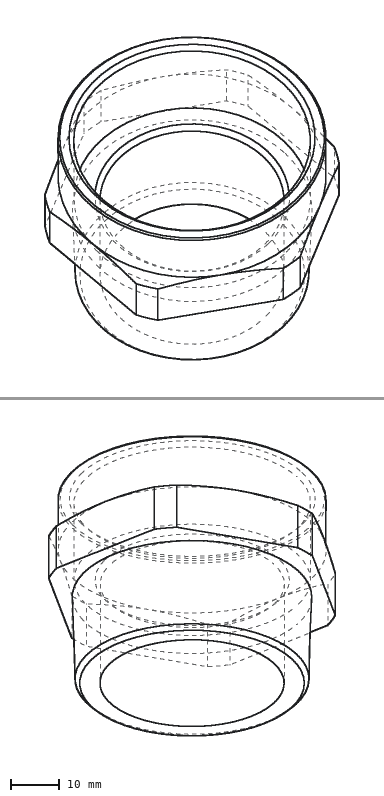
import cadquery as cq

total_height = 43.0
across_flats = 55.0
across_corners = 61.0

hex_bottom = 20.05
hex_top = 31.05
hex_chamfer_height = 1.15

collar_radius = across_flats / 2
rim_chamfer = 0.35

spigot_top_radius = 24.6
spigot_end_radius = 24.05
spigot_chamfer = 1.0

bore_radius = 18.9
bore_chamfer = 1.05
socket_radius = 24.3
socket_depth = 18.9
socket_chamfer_width = 1.0
socket_chamfer_depth = 1.0


def revolve_profile(points):
    """Revolve a closed outline of (radius, height) points about Z."""
    return cq.Workplane("XZ").polyline(points).close().revolve(360, (0, 0, 0), (0, 1, 0))


def make_hexagon():
    """Hexagon with flats facing X, its corners turned down and coned on top."""
    corner_radius = across_corners / 2
    prism = (
        cq.Workplane("XY")
        .workplane(offset=hex_bottom)
        .polygon(6, across_flats, circumscribed=True)
        .extrude(hex_top - hex_bottom)
    )
    turned_envelope = revolve_profile([
        (0, hex_bottom),
        (corner_radius, hex_bottom),
        (corner_radius, hex_top - hex_chamfer_height),
        (collar_radius, hex_top),
        (0, hex_top),
    ])
    return prism.intersect(turned_envelope)


def make_round_body():
    """Tapered spigot and collar as one solid of revolution."""
    return revolve_profile([
        (0, 0),
        (spigot_end_radius - spigot_chamfer, 0),
        (spigot_end_radius, spigot_chamfer),
        (spigot_top_radius, hex_bottom),
        (spigot_top_radius, hex_top),
        (collar_radius, hex_top),
        (collar_radius, total_height - rim_chamfer),
        (collar_radius - rim_chamfer, total_height),
        (0, total_height),
    ])


def make_bore():
    """Through bore opening into a wider socket, with both mouths chamfered."""
    socket_floor = total_height - socket_depth
    return revolve_profile([
        (0, 0),
        (bore_radius, 0),
        (bore_radius, socket_floor - bore_chamfer),
        (bore_radius + bore_chamfer, socket_floor),
        (socket_radius, socket_floor),
        (socket_radius, total_height - socket_chamfer_depth),
        (socket_radius + socket_chamfer_width, total_height),
        (0, total_height),
    ])


result = make_round_body().union(make_hexagon()).cut(make_bore())